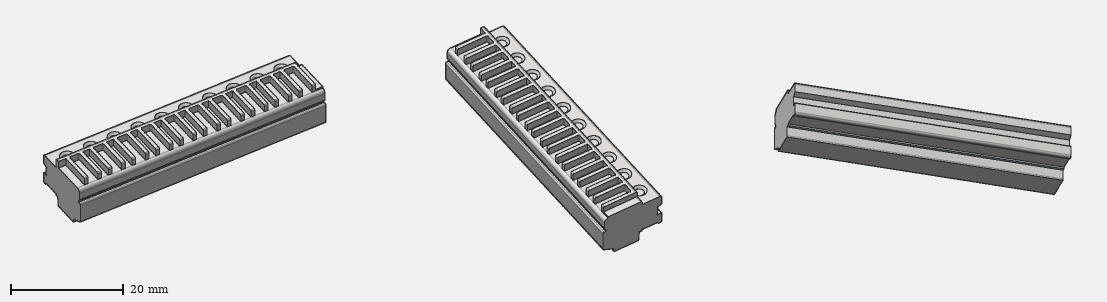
import cadquery as cq

LENGTH = 51.5
WIDTH = 12.5
HEIGHT = 10.6

BLOCK_LEFT = 4.15
BLOCK_RIGHT = 11.45
BLOCK_LEFT_FILLET = 0.4
BLOCK_RIGHT_FILLET = 0.25

LEDGE_Z = 8.6
LEDGE_FILLET = 0.45

LOWER_LIP_Z = 2.0
UNDERSIDE_Z = 2.3
LIP_FILLET = 0.4
LIP_END = 0.7
UNDERSIDE_LEFT = 1.05
UNDERSIDE_RIGHT = 4.2
FOOT_LEDGE_LEFT = 4.3
GROOVE_DEPTH = 0.95
GROOVE_ROOF_DROP = 0.5
GROOVE_FLOOR_DROP = 0.1
GROOVE_LIP_BEVEL = 0.15
GROOVE_BOTTOM_Z = 4.4
GROOVE_TOP_Z = 6.6
SHOULDER_X = 12.2
SHOULDER_Z = 9.05
SHOULDER_DROP = 0.75
LATCH_X = 11.9
LATCH_Z = 6.0
LATCH_FILLET = 0.25
LATCH_WALL_HEIGHT = 0.3
LATCH_HEIGHT = 0.75
FOOT_LEFT = 4.8
FOOT_RIGHT = 10.15
FOOT_TAPER = 0.1
FOOT_BEVEL_WIDTH = 0.05
FOOT_BEVEL_HEIGHT = 0.25
FOOT_WALL_HEIGHT = 0.55
FOOT_CORNER = 0.25
SLOPE_TOP_Z = 1.6
SLOPE_BEVEL = 0.2

PITCH = 5.0
POSITIONS = 10
FIRST_Y = 3.3
SCREW_X = 2.7
SCREW_TOP_DIAMETER = 2.75
SCREW_FLOOR_DIAMETER = 1.75
SCREW_DEPTH = 0.45

POCKET_LEFT = 5.1
WIDE_POCKET = 2.05
NARROW_POCKET = 1.45
POCKET_FILLET = 0.2

STEP_LENGTH = 1.5
STEP_Z = 9.4
STEP_FILLET = 0.3

OVERCUT = 0.5


def extrude_along_y(outline, start, length):
    """Extrude a closed XZ outline toward +Y from the given Y."""
    return outline.extrude(-length).translate((0, start, 0))


def make_body():
    outline = (
        cq.Workplane("XZ")
        .moveTo(FOOT_LEFT + FOOT_TAPER + FOOT_BEVEL_WIDTH, 0)
        .lineTo(FOOT_RIGHT, 0)
        .lineTo(FOOT_RIGHT, FOOT_WALL_HEIGHT)
        .lineTo(FOOT_RIGHT + FOOT_CORNER, FOOT_WALL_HEIGHT + FOOT_CORNER)
        .lineTo(WIDTH - SLOPE_BEVEL, SLOPE_TOP_Z)
        .lineTo(WIDTH, SLOPE_TOP_Z + SLOPE_BEVEL)
        .lineTo(WIDTH, LATCH_Z - LATCH_FILLET)
        .radiusArc((WIDTH - LATCH_FILLET, LATCH_Z), -LATCH_FILLET)
        .lineTo(LATCH_X, LATCH_Z)
        .lineTo(LATCH_X, LATCH_Z + LATCH_WALL_HEIGHT)
        .lineTo(SHOULDER_X, LATCH_Z + LATCH_HEIGHT)
        .lineTo(SHOULDER_X, SHOULDER_Z - SHOULDER_DROP)
        .tangentArcPoint((BLOCK_RIGHT, SHOULDER_Z), relative=False)
        .lineTo(BLOCK_RIGHT, HEIGHT - BLOCK_RIGHT_FILLET)
        .radiusArc((BLOCK_RIGHT - BLOCK_RIGHT_FILLET, HEIGHT), -BLOCK_RIGHT_FILLET)
        .lineTo(BLOCK_LEFT + BLOCK_LEFT_FILLET, HEIGHT)
        .radiusArc((BLOCK_LEFT, HEIGHT - BLOCK_LEFT_FILLET), -BLOCK_LEFT_FILLET)
        .lineTo(BLOCK_LEFT, LEDGE_Z)
        .lineTo(LEDGE_FILLET, LEDGE_Z)
        .radiusArc((0, LEDGE_Z - LEDGE_FILLET), -LEDGE_FILLET)
        .lineTo(0, GROOVE_TOP_Z)
        .lineTo(GROOVE_DEPTH, GROOVE_TOP_Z - GROOVE_ROOF_DROP)
        .lineTo(GROOVE_DEPTH, GROOVE_BOTTOM_Z - GROOVE_FLOOR_DROP)
        .lineTo(GROOVE_LIP_BEVEL, GROOVE_BOTTOM_Z)
        .lineTo(0, GROOVE_BOTTOM_Z - GROOVE_LIP_BEVEL)
        .lineTo(0, LOWER_LIP_Z + LIP_FILLET)
        .radiusArc((LIP_FILLET, LOWER_LIP_Z), -LIP_FILLET)
        .lineTo(LIP_END, LOWER_LIP_Z)
        .lineTo(UNDERSIDE_LEFT, UNDERSIDE_Z)
        .lineTo(UNDERSIDE_RIGHT, UNDERSIDE_Z)
        .lineTo(FOOT_LEDGE_LEFT, LOWER_LIP_Z)
        .lineTo(FOOT_LEFT, LOWER_LIP_Z)
        .lineTo(FOOT_LEFT + FOOT_TAPER, FOOT_BEVEL_HEIGHT)
        .close()
    )
    return extrude_along_y(outline, 0, LENGTH)


def screw_recess(y):
    return (
        cq.Workplane("XY", origin=(SCREW_X, y, LEDGE_Z))
        .circle(SCREW_TOP_DIAMETER / 2)
        .workplane(offset=-SCREW_DEPTH)
        .circle(SCREW_FLOOR_DIAMETER / 2)
        .loft()
    )


def pocket(y_min, y_max):
    """Box that cuts the block down to the shoulder from POCKET_LEFT to its +X face."""
    return cq.Workplane("XY").box(
        BLOCK_RIGHT + OVERCUT - POCKET_LEFT,
        y_max - y_min,
        HEIGHT + OVERCUT - SHOULDER_Z,
        centered=False,
    ).translate((POCKET_LEFT, y_min, SHOULDER_Z))


def wide_pocket(y):
    blank = pocket(y - WIDE_POCKET / 2, y + WIDE_POCKET / 2)
    return blank.edges("|Z and <X").fillet(POCKET_FILLET)


def narrow_pocket(y):
    return pocket(y - NARROW_POCKET / 2, y + NARROW_POCKET / 2)


def end_step():
    """Material above the lowered, rounded top of the block at its +Y end."""
    outline = (
        cq.Workplane("XZ")
        .moveTo(BLOCK_LEFT - OVERCUT, STEP_Z - STEP_FILLET)
        .lineTo(BLOCK_LEFT, STEP_Z - STEP_FILLET)
        .radiusArc((BLOCK_LEFT + STEP_FILLET, STEP_Z), STEP_FILLET)
        .lineTo(BLOCK_RIGHT + OVERCUT, STEP_Z)
        .lineTo(BLOCK_RIGHT + OVERCUT, HEIGHT + OVERCUT)
        .lineTo(BLOCK_LEFT - OVERCUT, HEIGHT + OVERCUT)
        .close()
    )
    return extrude_along_y(outline, LENGTH - STEP_LENGTH, STEP_LENGTH + OVERCUT)


result = make_body().cut(end_step())

for index in range(POSITIONS):
    position_y = FIRST_Y + index * PITCH
    result = result.cut(screw_recess(position_y))
    result = result.cut(wide_pocket(position_y))
    if index > 0:
        result = result.cut(narrow_pocket(position_y - PITCH / 2))

result = result.cut(pocket(-OVERCUT, FIRST_Y - PITCH / 2 + NARROW_POCKET / 2))